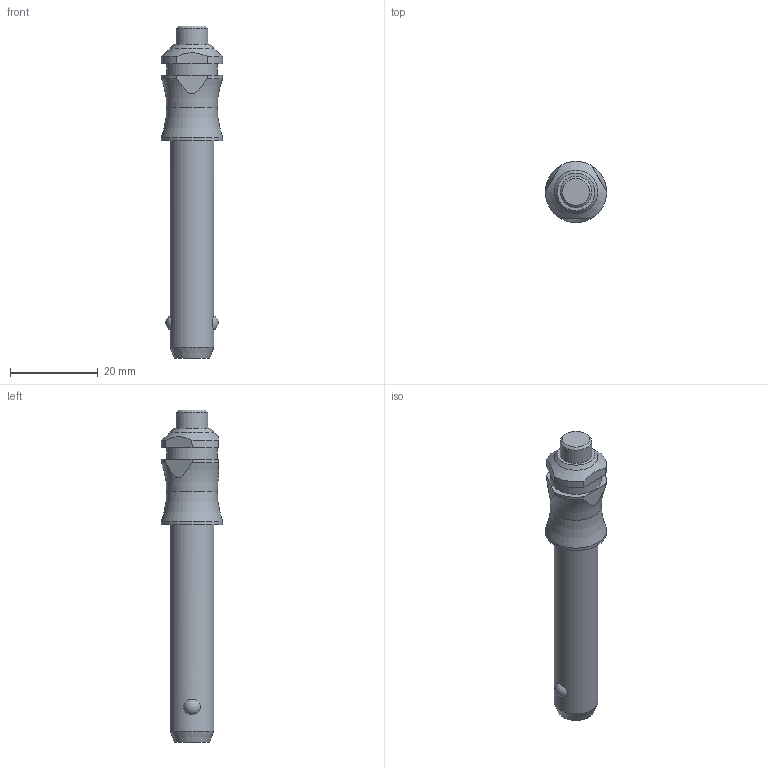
import cadquery as cq
import math

total_length = 75.8
shank_length = 49.6

shank_radius = 5.0
tip_radius = 4.1
tip_taper_length = 2.5

ball_radius = 2.0
ball_protrusion = 1.0
ball_height_above_tip = 8.0

handle_radius = 7.0
waist_radius = 5.8
shoulder_rim_height = 0.7
upper_rim_height = 0.7
waist_height = 7.6
handle_height = 14.9

neck_radius = 5.8
neck_height = 2.7

cap_rim_height = 1.65
cap_break_radius = 5.0
cap_top_radius = 4.3
lower_cone_height = 1.8
upper_cone_height = 0.95

button_radius = 3.6
button_chamfer = 0.5

flat_count = 3
flat_half_angle = 30.0
first_flat_angle = -90.0

button_top = total_length - shank_length
tip_z = -shank_length
cap_bottom = handle_height + neck_height
cap_rim_top = cap_bottom + cap_rim_height
cap_break_z = cap_rim_top + lower_cone_height
cap_top = cap_break_z + upper_cone_height


def flare_midpoint(end_z):
    """Midpoint of the arc that leaves the waist axially and flares to the handle radius."""
    rise = abs(end_z - waist_height)
    flare = handle_radius - waist_radius
    arc_radius = (rise**2 + flare**2) / (2 * flare)
    half_angle = math.asin(rise / arc_radius) / 2
    mid_radius = waist_radius + arc_radius * (1 - math.cos(half_angle))
    mid_z = waist_height + math.copysign(arc_radius * math.sin(half_angle), end_z - waist_height)
    return (mid_radius, mid_z)


def make_turned_body():
    """Shank, waisted handle, neck, cap and button as one revolved profile."""
    flare_bottom = shoulder_rim_height
    flare_top = handle_height - upper_rim_height
    profile = (
        cq.Workplane("XZ")
        .moveTo(0, tip_z)
        .lineTo(tip_radius, tip_z)
        .lineTo(shank_radius, tip_z + tip_taper_length)
        .lineTo(shank_radius, 0)
        .lineTo(handle_radius, 0)
        .lineTo(handle_radius, flare_bottom)
        .threePointArc(flare_midpoint(flare_bottom), (waist_radius, waist_height))
        .threePointArc(flare_midpoint(flare_top), (handle_radius, flare_top))
        .lineTo(handle_radius, handle_height)
        .lineTo(neck_radius, handle_height)
        .lineTo(neck_radius, cap_bottom)
        .lineTo(handle_radius, cap_bottom)
        .lineTo(handle_radius, cap_rim_top)
        .lineTo(cap_break_radius, cap_break_z)
        .lineTo(cap_top_radius, cap_top)
        .lineTo(button_radius, cap_top)
        .lineTo(button_radius, button_top - button_chamfer)
        .lineTo(button_radius - button_chamfer, button_top)
        .lineTo(0, button_top)
        .close()
    )
    return profile.revolve(360, (0, 0, 0), (0, 1, 0))


def make_flat_cutter(angle):
    """Block that shaves one flat off the cap and the upper flare, down to the waist."""
    flat_distance = handle_radius * math.cos(math.radians(flat_half_angle))
    return (
        cq.Workplane("XY")
        .box(handle_radius, 2 * handle_radius, cap_top - waist_height, centered=(False, True, False))
        .translate((flat_distance, 0, waist_height))
        .rotate((0, 0, 0), (0, 0, 1), angle)
    )


def make_ball(side):
    """Locking ball on the +X (side = 1) or -X (side = -1) face of the shank."""
    centre_x = shank_radius + ball_protrusion - ball_radius
    return cq.Workplane("XY").sphere(ball_radius).translate(
        (side * centre_x, 0, tip_z + ball_height_above_tip)
    )


result = make_turned_body()
for index in range(flat_count):
    result = result.cut(make_flat_cutter(first_flat_angle + index * 360 / flat_count))
for side in (-1, 1):
    result = result.union(make_ball(side))